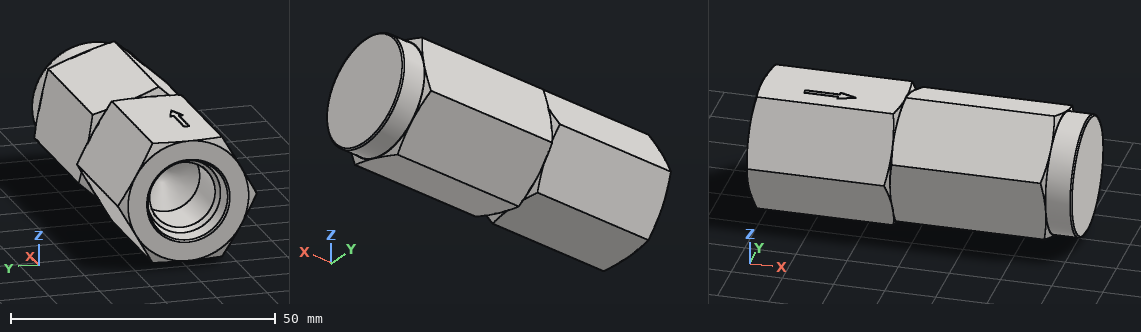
import cadquery as cq
import math

overall_length = 63.5
across_corners = 27.48
across_flats = across_corners * math.cos(math.radians(30))
corner_chamfer_length = 0.65

inlet_length = 28.0
port_mouth_diameter = 16.4
port_diameter = 15.7
port_chamfer = (port_mouth_diameter - port_diameter) / 2
port_end_diameter = 14.5
port_depth = 3.0
drill_diameter = 12.9
drill_start_depth = 3.9
drill_depth = 14.0
drill_point_angle = 118.0

arrow_tail_x = 8.8
arrow_neck_x = 15.5
arrow_tip_x = 18.8
arrow_center_y = -2.3
arrow_shaft_width = 1.0
arrow_head_width = 2.5
arrow_depth = 0.1

outlet_hex_length = 30.4
outlet_tilt = 11.7
collar_diameter = 23.62
collar_length = overall_length - inlet_length - outlet_hex_length
collar_chamfer = 0.3


def chamfered_hexagon(start_x, length):
    """Hexagonal bar along X, corners on the Y axis, turned down to the flats at both ends."""
    bar = cq.Workplane("YZ", origin=(start_x, 0, 0)).polygon(6, across_corners).extrude(length)
    flat_radius = across_flats / 2
    corner_radius = across_corners / 2
    turned_profile = [
        (start_x, 0),
        (start_x, flat_radius),
        (start_x + corner_chamfer_length, corner_radius),
        (start_x + length - corner_chamfer_length, corner_radius),
        (start_x + length, flat_radius),
        (start_x + length, 0),
    ]
    envelope = cq.Workplane("XY").polyline(turned_profile).close().revolve(360, (0, 0, 0), (1, 0, 0))
    return bar.intersect(envelope)


def inlet_port():
    """Round cavity that tapers in two steps to a drilled hole and ends in a drill point."""
    drill_radius = drill_diameter / 2
    point_length = drill_radius / math.tan(math.radians(drill_point_angle / 2))
    cavity_profile = [
        (0, 0),
        (0, port_mouth_diameter / 2),
        (port_chamfer, port_diameter / 2),
        (port_depth, port_end_diameter / 2),
        (drill_start_depth, drill_radius),
        (drill_depth, drill_radius),
        (drill_depth + point_length, 0),
    ]
    return cq.Workplane("XY").polyline(cavity_profile).close().revolve(360, (0, 0, 0), (1, 0, 0))


def flow_arrow():
    """Arrow-shaped recess that points from the inlet to the outlet."""
    half_shaft = arrow_shaft_width / 2
    half_head = arrow_head_width / 2
    outline = [
        (arrow_tail_x, -half_shaft),
        (arrow_neck_x, -half_shaft),
        (arrow_neck_x, -half_head),
        (arrow_tip_x, 0),
        (arrow_neck_x, half_head),
        (arrow_neck_x, half_shaft),
        (arrow_tail_x, half_shaft),
    ]
    top_flat = cq.Workplane("XY", origin=(0, arrow_center_y, across_flats / 2))
    return top_flat.polyline(outline).close().extrude(-arrow_depth)


def make_inlet_body():
    return chamfered_hexagon(0, inlet_length).cut(inlet_port()).cut(flow_arrow())


def make_outlet_body():
    hexagon = chamfered_hexagon(inlet_length, outlet_hex_length)
    hexagon = hexagon.rotate((0, 0, 0), (1, 0, 0), 90 + outlet_tilt)
    collar = (
        cq.Workplane("YZ", origin=(inlet_length + outlet_hex_length, 0, 0))
        .circle(collar_diameter / 2)
        .extrude(collar_length)
        .faces(">X")
        .chamfer(collar_chamfer)
    )
    return hexagon.union(collar)


inlet_body = make_inlet_body()
outlet_body = make_outlet_body()
result = cq.Compound.makeCompound([inlet_body.val(), outlet_body.val()])